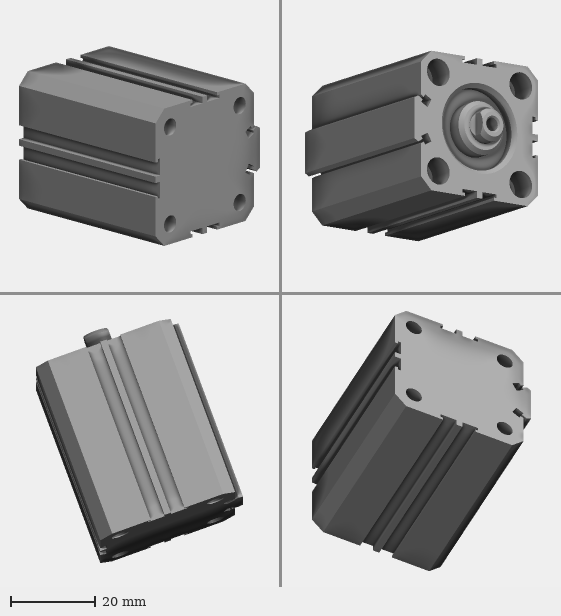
import cadquery as cq
import math


section_size = 34.0
section_half = section_size / 2
housing_length = 44.5
corner_chamfer = 3.0

groove_opening = 8.5
groove_span = 10.0
groove_depth = 1.6
groove_lip = 0.75
groove_rib = 1.6

rail_height = 2.0
rail_face_half = 4.95
rail_slope = 30.0
slot_axis_z = 5.5
slot_neck_width = 0.7
slot_neck_length = 0.7
slot_cell_width = 2.3
slot_cell_depth = 2.1

hole_pitch = 24.0
hole_diameter = 4.2
hole_countersink_diameter = 5.0
counterbore_diameter = 6.6
counterbore_depth = 7.0

recess_diameter = 20.0
recess_depth = 3.0
recess_chamfer = 1.0
collar_diameter = 13.0
collar_projection = 1.5
collar_chamfer = 1.0

rod_diameter = 8.0
rod_projection = 4.0
rod_insertion = 20.0
rod_chamfer = 1.0
flat_width = 6.0
flat_length = 3.0
tap_diameter = 3.3
tap_mouth_diameter = 4.1
tap_depth = 7.0
tap_tip_angle = 118.0

collar_face_x = -collar_projection
rod_tip_x = collar_face_x - rod_projection


def cylinder_x(diameter, start_x, end_x):
    """Cylinder about the X axis."""
    return cq.Workplane("YZ", origin=(start_x, 0, 0)).circle(diameter / 2).extrude(end_x - start_x)


def cone_x(start_diameter, end_diameter, start_x, end_x):
    """Truncated cone about the X axis, or a full cone when the end diameter is zero."""
    axis_start = cq.Vector(start_x, 0, 0)
    length = end_x - start_x
    cone = cq.Solid.makeCone(start_diameter / 2, end_diameter / 2, length, axis_start, cq.Vector(1, 0, 0))
    return cq.Workplane(obj=cone)


def extrude_section(points):
    """Prism of a YZ outline over the whole housing length."""
    return cq.Workplane("YZ").polyline(points).close().extrude(housing_length)


def make_block():
    block = cq.Workplane("YZ").rect(section_size, section_size).extrude(housing_length)
    return block.edges("|X").chamfer(corner_chamfer)


def make_groove_pair():
    """Cutter for the two T-grooves of the +Z face, with the rib left standing between them."""
    floor_z = section_half - groove_depth
    lip_z = section_half - groove_lip
    right_groove = extrude_section([
        (groove_rib / 2, section_half),
        (groove_rib / 2, floor_z),
        (groove_span / 2, floor_z),
        (groove_span / 2, lip_z),
        (groove_opening / 2, lip_z),
        (groove_opening / 2, section_half),
    ])
    return right_groove.union(right_groove.mirror("XZ"))


def make_rail():
    """Rail on the +Y face; its flanks slope out from the face until they meet the slot walls."""
    slope = math.tan(math.radians(rail_slope))
    wall_z = slot_axis_z - slot_neck_width / 2 / math.cos(math.radians(rail_slope))
    tip_rise = (rail_face_half + rail_height * slope - wall_z) / (2 * slope)
    tip_z = wall_z + tip_rise * slope
    face_y = section_half + rail_height
    root_y = section_half - slot_neck_length
    upper_side = [
        (root_y, wall_z),
        (section_half, wall_z),
        (section_half + tip_rise, tip_z),
        (face_y, rail_face_half),
    ]
    lower_side = [(y, -z) for y, z in reversed(upper_side)]
    return extrude_section(upper_side + lower_side)


def make_rail_slot():
    """Cutter for the upper rail slot: laid out along +Y, then tilted about its mouth centre."""
    cell_outer_y = section_half - slot_neck_length
    cell_inner_y = cell_outer_y - slot_cell_depth
    mouth_y = section_half + rail_height
    neck_top = slot_axis_z + slot_neck_width / 2
    neck_bottom = slot_axis_z - slot_neck_width / 2
    cell_top = slot_axis_z + slot_cell_width / 2
    cell_bottom = slot_axis_z - slot_cell_width / 2
    slot = extrude_section([
        (mouth_y, neck_top),
        (cell_outer_y, neck_top),
        (cell_outer_y, cell_top),
        (cell_inner_y, cell_top),
        (cell_inner_y, cell_bottom),
        (cell_outer_y, cell_bottom),
        (cell_outer_y, neck_bottom),
        (mouth_y, neck_bottom),
    ])
    pivot_start = (0, section_half, slot_axis_z)
    pivot_end = (1, section_half, slot_axis_z)
    return slot.rotate(pivot_start, pivot_end, rail_slope)


def make_mounting_hole():
    """Cutter for one counterbored through hole, centred on the X axis."""
    countersink_depth = (hole_countersink_diameter - hole_diameter) / 2
    countersink_end = counterbore_depth + countersink_depth
    through = cylinder_x(hole_diameter, 0, housing_length)
    counterbore = cylinder_x(counterbore_diameter, 0, counterbore_depth)
    countersink = cone_x(hole_countersink_diameter, hole_diameter, counterbore_depth, countersink_end)
    return through.union(counterbore).union(countersink)


def make_recess():
    """Cutter for the round front recess with its chamfered mouth."""
    mouth_diameter = recess_diameter + 2 * recess_chamfer
    recess = cylinder_x(recess_diameter, 0, recess_depth)
    return recess.union(cone_x(mouth_diameter, recess_diameter, 0, recess_chamfer))


def make_collar():
    """Guide collar standing on the recess floor."""
    collar = cylinder_x(collar_diameter, collar_face_x, recess_depth)
    return collar.faces("<X").chamfer(collar_chamfer)


def make_housing():
    housing = make_block().union(make_rail())
    groove_pair = make_groove_pair()
    for turn in (0, 90, 180):
        housing = housing.cut(groove_pair.rotate((0, 0, 0), (1, 0, 0), turn))
    rail_slot = make_rail_slot()
    housing = housing.cut(rail_slot).cut(rail_slot.mirror("XY"))
    mounting_hole = make_mounting_hole()
    for side_y in (-1, 1):
        for side_z in (-1, 1):
            hole_place = (0, side_y * hole_pitch / 2, side_z * hole_pitch / 2)
            housing = housing.cut(mounting_hole.translate(hole_place))
    housing = housing.cut(make_recess()).union(make_collar())
    rod_bore = cylinder_x(rod_diameter, collar_face_x, rod_insertion)
    return housing.cut(rod_bore)


def make_wrench_flat():
    """Cutter for the +Y wrench flat, ending in a 45 degree run-out."""
    flat_y = flat_width / 2
    outer_y = rod_diameter / 2
    flat_end_x = rod_tip_x + flat_length
    runout_end_x = flat_end_x + outer_y - flat_y
    outline = [
        (rod_tip_x, flat_y),
        (flat_end_x, flat_y),
        (runout_end_x, outer_y),
        (rod_tip_x, outer_y),
    ]
    return cq.Workplane("XY").polyline(outline).close().extrude(rod_diameter / 2, both=True)


def make_tapped_hole():
    """Cutter for the blind hole in the rod tip, with a chamfered mouth and a drill-point end."""
    mouth_depth = (tap_mouth_diameter - tap_diameter) / 2
    tip_length = tap_diameter / 2 / math.tan(math.radians(tap_tip_angle / 2))
    hole_end_x = rod_tip_x + tap_depth
    hole = cylinder_x(tap_diameter, rod_tip_x, hole_end_x)
    mouth = cone_x(tap_mouth_diameter, tap_diameter, rod_tip_x, rod_tip_x + mouth_depth)
    drill_point = cone_x(tap_diameter, 0, hole_end_x, hole_end_x + tip_length)
    return hole.union(mouth).union(drill_point)


def make_rod():
    rod = cylinder_x(rod_diameter, rod_tip_x, rod_insertion).faces("<X").chamfer(rod_chamfer)
    wrench_flat = make_wrench_flat()
    rod = rod.cut(wrench_flat).cut(wrench_flat.mirror("XZ"))
    return rod.cut(make_tapped_hole())


housing = make_housing()
rod = make_rod()

result = cq.Compound.makeCompound([housing.val(), rod.val()])